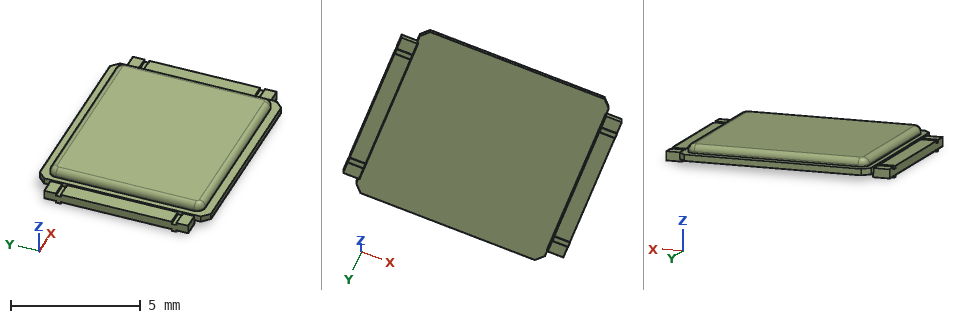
import cadquery as cq

overall_length = 9.15
overall_width = 7.1
overall_height = 0.83

terminal_reach = 0.65
flange_length = overall_length - 2 * terminal_reach
flange_thickness = 0.26
flange_corner_chamfer = 0.3

cover_height = 0.33
cover_inset_x = 0.23
cover_inset_y = 0.35
cover_corner_radius = 0.34
cover_edge_radius = 0.26
cover_length = flange_length - 2 * cover_inset_x
cover_width = overall_width - 2 * cover_inset_y
flange_top_z = overall_height - cover_height
flange_bottom_z = flange_top_z - flange_thickness

bar_width = 5.97
bar_top_drop = 0.06
bar_underlap = 0.04
foot_height = 0.07
foot_width = 0.2
foot_edge_distance = 0.485
groove_depth = 0.1
bar_top_z = flange_top_z - bar_top_drop
bar_bottom_z = foot_height
bar_length = terminal_reach + bar_underlap
bar_inner_chamfer = bar_underlap
foot_length = bar_length - bar_inner_chamfer
foot_offset_y = bar_width / 2 - foot_edge_distance - foot_width / 2


def block(length, width, bottom_z, top_z, center_x=0.0, center_y=0.0):
    """Upright box, centered in plan, between two heights."""
    return (
        cq.Workplane("XY", origin=(center_x, center_y, bottom_z))
        .rect(length, width)
        .extrude(top_z - bottom_z)
    )


def make_terminal_bar():
    """Bar at the -X end, with its grooves and feet."""
    outer_x = -overall_length / 2
    bar_center_x = outer_x + bar_length / 2
    bar = block(bar_length, bar_width, bar_bottom_z, bar_top_z, bar_center_x)
    bar = bar.edges(">X and <Z").chamfer(bar_inner_chamfer)
    for side in (-1, 1):
        foot_y = side * foot_offset_y
        foot = block(
            foot_length, foot_width, 0, bar_bottom_z, outer_x + foot_length / 2, foot_y
        )
        groove = block(
            terminal_reach,
            foot_width,
            bar_top_z - groove_depth,
            bar_top_z,
            outer_x + terminal_reach / 2,
            foot_y,
        )
        bar = bar.union(foot).cut(groove)
    return bar


def make_frame():
    """Flange with clipped corners and a terminal bar at each X end."""
    flange = block(flange_length, overall_width, flange_bottom_z, flange_top_z)
    flange = flange.edges("|Z").chamfer(flange_corner_chamfer)
    bar = make_terminal_bar()
    return flange.union(bar).union(bar.mirror("YZ"))


def make_cover():
    """Rounded pad seated on the flange."""
    cover = block(cover_length, cover_width, flange_top_z, overall_height)
    cover = cover.edges("|Z").fillet(cover_corner_radius)
    return cover.faces(">Z").edges().fillet(cover_edge_radius)


frame = make_frame()
cover = make_cover()

result = cq.Compound.makeCompound([frame.val(), cover.val()])